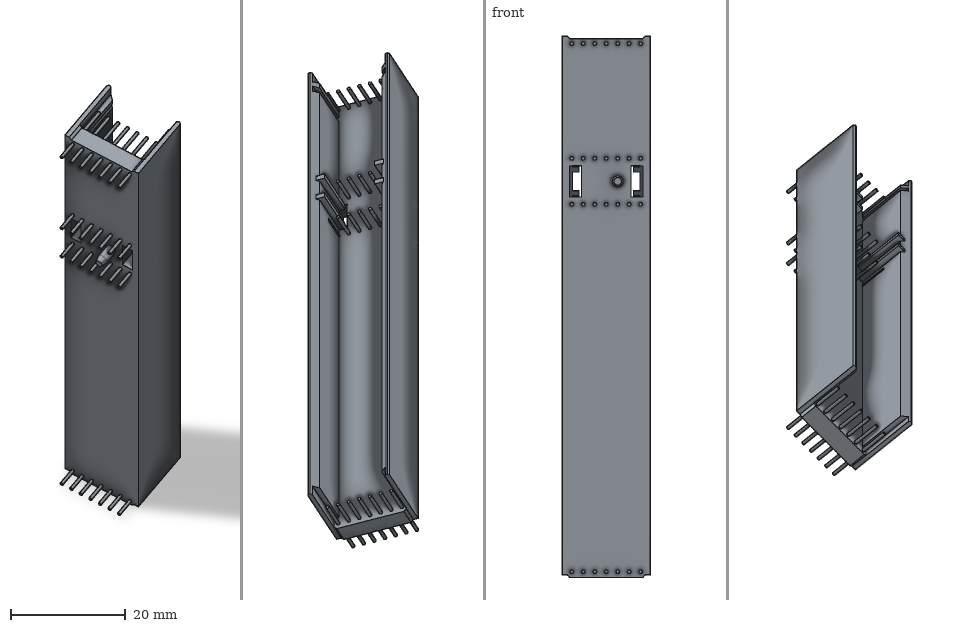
import cadquery as cq

total_height = 94.35
width = 15.4
depth = 13.5
wall = 0.85
floor = 3.3
joint_step = 0.5
joint_root_width = 13.6
joint_tip_width = 12.6
wall_height = total_height - joint_step
inner_x = width / 2 - wall
tip_chamfer = 0.3

guide_x = 5.85
guide_end_gap = 1.9
guide_slot_drop = 1.0
guide_slot_height = 1.0
key_x = 4.7
key_depth = 12.7
key_gap = 3.2
key_thickness = 0.9

contact_rows = (0, 10, 14, 46)
contact_span = 92.0
pitch = contact_span / contact_rows[-1]
columns = 7
top_row_gap = 1.3
top_row_z = wall_height - top_row_gap
pin_diameter = 0.6
pin_front = 3.6
pin_back = 8.3

coding_row = 12
coding_z = top_row_z - coding_row * pitch
window_inner_x = 4.3
window_outer_x = 6.4
window_height = 5.4

peg_x = pitch
peg_diameter = 1.9
peg_tip_diameter = 1.3
peg_length = 3.9
peg_tip_length = 1.1


def block(x_min, x_max, y_min, y_max, z_min, z_max):
    """Box given by its limits along the three axes."""
    size = (x_max - x_min, y_max - y_min, z_max - z_min)
    return cq.Workplane("XY").box(*size, centered=False).translate((x_min, y_min, z_min))


def both_sides(solid):
    """The solid together with its mirror image across the YZ plane."""
    return solid.union(solid.mirror("YZ"))


def tongue_wedge():
    """Wedge-sided tongue hanging below Z = 0 across the floor."""
    root = joint_root_width / 2
    tip = joint_tip_width / 2
    outline = [
        (-root, 0),
        (root, 0),
        (tip, -joint_step),
        (-tip, -joint_step),
    ]
    return cq.Workplane("XZ").polyline(outline).close().extrude(-floor)


def channel():
    """U-shaped shroud with a tongue at the bottom and a recess at the top."""
    body = block(-width / 2, width / 2, 0, depth, 0, wall_height)
    body = body.cut(block(-inner_x, inner_x, floor, depth, 0, wall_height))
    body = body.faces(">Y").edges("|Z").chamfer(tip_chamfer)
    tongue = tongue_wedge()
    return body.union(tongue).cut(tongue.translate((0, 0, wall_height)))


def guide_rib():
    """Rib along the inside of the right wall, slotted near its top, with a sloping back edge."""
    slope = inner_x - guide_x
    outline = [
        (inner_x, floor),
        (guide_x, floor),
        (guide_x, depth - tip_chamfer - slope),
        (inner_x, depth - tip_chamfer),
    ]
    bottom = guide_end_gap
    top = wall_height - guide_end_gap
    rib = cq.Workplane("XY").workplane(offset=bottom).polyline(outline).close().extrude(top - bottom)
    slot_top = top - guide_slot_drop
    return rib.cut(block(guide_x, inner_x, floor, depth, slot_top - guide_slot_height, slot_top))


def key_tabs():
    """Two tabs on the right guide rib, above and below the middle of the coding area."""
    tabs = cq.Workplane("XY")
    for offset in (key_gap / 2, -key_gap / 2 - key_thickness):
        z_min = coding_z + offset
        tabs = tabs.add(block(key_x, inner_x, floor, key_depth, z_min, z_min + key_thickness))
    return tabs.combine()


def coding_window():
    """Opening through the floor beside the right wall."""
    half = window_height / 2
    return block(window_inner_x, window_outer_x, 0, floor, coding_z - half, coding_z + half)


def contact_pins():
    """Rows of round pins passing through the floor."""
    x_first = -pitch * (columns - 1) / 2
    places = [
        (x_first + column * pitch, top_row_z - row * pitch)
        for row in contact_rows
        for column in range(columns)
    ]
    plane = cq.Workplane("XZ", origin=(0, pin_back, 0))
    return plane.pushPoints(places).circle(pin_diameter / 2).extrude(pin_back + pin_front)


def locating_peg():
    """Round peg on the front face with a tapered tip, turned about its own axis."""
    root = floor / 2
    shoulder = peg_length - peg_tip_length
    profile = [
        (0, root),
        (peg_diameter / 2, root),
        (peg_diameter / 2, -shoulder),
        (peg_tip_diameter / 2, -peg_length),
        (0, -peg_length),
    ]
    peg = cq.Workplane("XY").polyline(profile).close().revolve(360, (0, 0, 0), (0, 1, 0))
    return peg.translate((peg_x, 0, coding_z))


result = channel()
result = result.cut(both_sides(coding_window()))
result = result.union(both_sides(guide_rib()))
result = result.union(both_sides(key_tabs()))
result = result.union(contact_pins())
result = result.union(locating_peg())